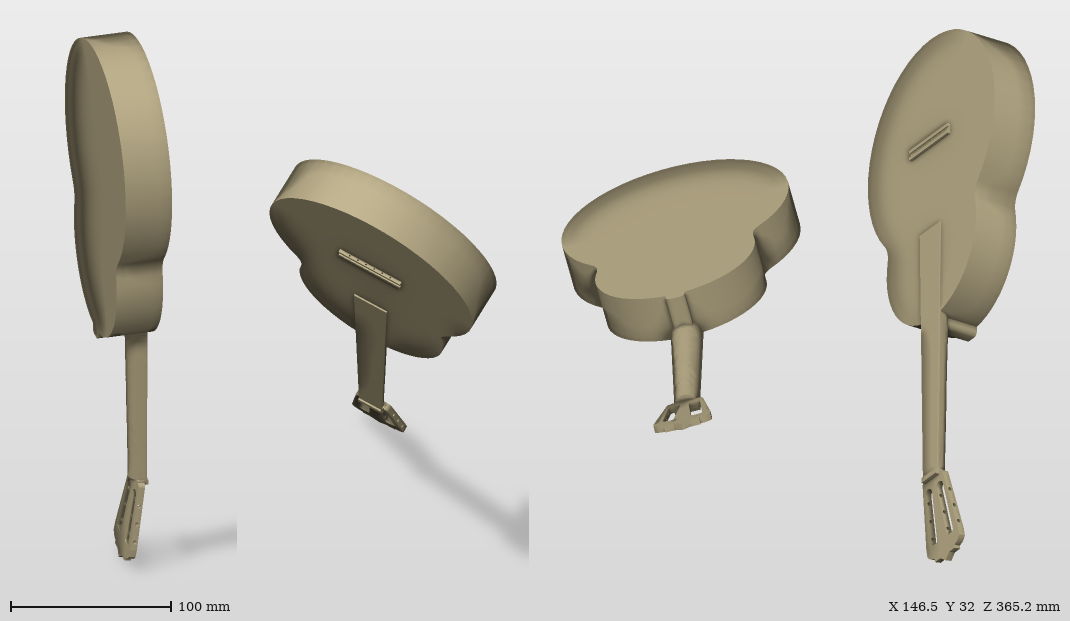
import cadquery as cq
import math


body_width = 146.5
upper_radius = body_width / 2
lower_radius = 51.5
bout_spacing = 73.0
waist_radius = 14.5
body_depth = 30.0

fingerboard_height = 1.0
fingerboard_top_z = -61.0
neck_face_y = body_depth + fingerboard_height
neck_root_z = -120.5
neck_end_z = -234.0
neck_root_width = 21.0
neck_end_width = 16.0
neck_root_depth = 12.0
neck_end_depth = 10.0

heel_width = 12.0
heel_end_z = -130.5
heel_corner_radius = 3.3

bridge_length = 44.2
bridge_height = 7.0
bridge_groove_height = 2.5
bridge_groove_depth = 1.0
string_hole_count = 6
string_hole_pitch = 6.0
string_hole_diameter = 1.0
crest_above_neck = 1.0
crest_y = neck_face_y + crest_above_neck
nut_height = 3.3

head_tilt = 10.0
head_face_y = 29.5
head_thickness = 4.5
head_overlap = 1.5
head_top_half_width = 8.8
head_corner_start = 1.5
head_corner_radius = 3.0
head_side_half_width = head_top_half_width + head_corner_radius
head_wide_half_width = 18.3
head_wide_start = 44.2
head_wide_end = 49.0
head_bend_half_width = 15.7
head_bend = 51.5
head_shoulder_half_width = 11.5
head_shoulder = 53.0
head_step = 55.0
head_tip_half_width = 5.0
head_tip = 58.8

slot_length = 36.5
slot_width = 7.3
slot_upper_radius = 3.3
slot_lower_radius = 2.0
slot_centre_x = 7.5
slot_centre_down = 26.0
slot_angle = 5.0
peg_hole_diameter = 2.5
peg_first_down = 15.7
peg_pitch = 11.7
peg_count = 3


def front_plane(y):
    """Plane at depth y whose local axes are X and Z and whose normal is -Y."""
    return cq.Workplane("XZ", origin=(0, y, 0))


def make_body():
    """Two round bouts joined by concave waist arcs."""
    upper_reach = upper_radius + waist_radius
    lower_reach = lower_radius + waist_radius
    waist_drop = (upper_reach**2 - lower_reach**2 + bout_spacing**2) / (2 * bout_spacing)
    waist_x = math.sqrt(upper_reach**2 - waist_drop**2)

    upper_ratio = upper_radius / upper_reach
    lower_ratio = lower_radius / lower_reach
    upper_x = waist_x * upper_ratio
    upper_z = -waist_drop * upper_ratio
    lower_x = waist_x * lower_ratio
    lower_z = -bout_spacing + (bout_spacing - waist_drop) * lower_ratio
    upper_angle = math.atan2(waist_drop, waist_x)
    lower_angle = math.atan2(waist_drop - bout_spacing, waist_x)
    middle_angle = (upper_angle + lower_angle) / 2
    middle_x = waist_x - waist_radius * math.cos(middle_angle)
    middle_z = -waist_drop + waist_radius * math.sin(middle_angle)

    return (
        front_plane(body_depth)
        .moveTo(-upper_x, upper_z)
        .threePointArc((0, upper_radius), (upper_x, upper_z))
        .threePointArc((middle_x, middle_z), (lower_x, lower_z))
        .threePointArc((0, -bout_spacing - lower_radius), (-lower_x, lower_z))
        .threePointArc((-middle_x, middle_z), (-upper_x, upper_z))
        .close()
        .extrude(body_depth)
    )


def make_fingerboard():
    """Thin plate on the soundboard, widening upwards at the same rate as the neck."""
    taper = (neck_root_width - neck_end_width) / (neck_root_z - neck_end_z)
    top_width = neck_end_width + taper * (fingerboard_top_z - neck_end_z)
    return (
        front_plane(neck_face_y)
        .polyline(
            [
                (-top_width / 2, fingerboard_top_z),
                (top_width / 2, fingerboard_top_z),
                (neck_end_width / 2, neck_end_z),
                (-neck_end_width / 2, neck_end_z),
            ]
        )
        .close()
        .extrude(fingerboard_height)
    )


def add_neck_section(work, width, depth):
    """Draw half an ellipse whose flat side lies on the local X axis."""
    half_width = width / 2
    return work.moveTo(-half_width, 0).ellipseArc(half_width, depth, 180, 360, startAtCurrent=True).close()


def make_neck():
    """Half-elliptical bar tapering towards its end, flat on the fingerboard face."""
    root = cq.Workplane("XY", origin=(0, neck_face_y, neck_root_z))
    root = add_neck_section(root, neck_root_width, neck_root_depth)
    end = add_neck_section(root.workplane(offset=neck_end_z - neck_root_z), neck_end_width, neck_end_depth)
    return end.loft(ruled=True)


def make_heel():
    """Tab with rounded lower corners, from the back of the body to inside the neck."""
    depth = neck_face_y - neck_root_depth / 2
    height = neck_root_z - heel_end_z
    return (
        cq.Workplane("XY")
        .box(heel_width, depth, height, centered=(True, False, False))
        .edges("|Y and <Z")
        .fillet(heel_corner_radius)
        .translate((0, 0, heel_end_z))
    )


def make_bridge():
    """Bar across the soundboard, grooved along its crest, with string holes through its upper ridge."""
    thickness = crest_y - body_depth
    bar = front_plane(crest_y).rect(bridge_length, bridge_height).extrude(thickness)
    groove = front_plane(crest_y).rect(bridge_length, bridge_groove_height).extrude(bridge_groove_depth)
    ridge_height = (bridge_height - bridge_groove_height) / 2
    string_holes = (
        cq.Workplane("XY", origin=(0, body_depth + thickness / 2, bridge_groove_height / 2))
        .rarray(string_hole_pitch, 3.5, string_hole_count, 1)
        .circle(string_hole_diameter / 2)
        .extrude(ridge_height)
    )
    return bar.cut(groove).cut(string_holes)


def make_nut():
    """Block between the fingerboard's end and the headstock, sunk into the headstock."""
    depth = crest_y - head_face_y + head_thickness / 2
    block = cq.Workplane("XY").box(neck_end_width, depth, nut_height, centered=(True, False, False))
    return block.translate((0, crest_y - depth, neck_end_z - nut_height))


def make_string_slot(side):
    """Cutter for one slot: round at its upper end, blunter at its lower end."""
    blank = cq.Workplane("XY").box(slot_width, slot_length, head_thickness, centered=(True, True, False))
    blank = blank.edges("|Z and <Y").fillet(slot_lower_radius)
    blank = blank.edges("|Z and >Y").fillet(slot_upper_radius)
    blank = blank.rotate((0, 0, 0), (0, 0, 1), side * slot_angle)
    return blank.translate((side * slot_centre_x, -slot_centre_down, 0))


def make_flat_headstock():
    """Plate lying in XY with its upper end at Y = 0 and its fingerboard side at Z = 0."""
    half_plate = (
        cq.Workplane("XY")
        .moveTo(0, head_overlap)
        .lineTo(head_top_half_width, head_overlap)
        .lineTo(head_top_half_width, -head_corner_start)
        .radiusArc((head_side_half_width, -head_corner_start - head_corner_radius), head_corner_radius)
        .lineTo(head_wide_half_width, -head_wide_start)
        .lineTo(head_wide_half_width, -head_wide_end)
        .threePointArc(
            (head_bend_half_width, -head_bend),
            (head_shoulder_half_width, -head_shoulder),
        )
        .lineTo(head_shoulder_half_width, -head_step)
        .lineTo(head_tip_half_width, -head_step)
        .lineTo(0, -head_tip)
        .close()
        .extrude(head_thickness)
    )
    plate = half_plate.union(half_plate.mirror("YZ"))

    for side in (-1, 1):
        plate = plate.cut(make_string_slot(side))

    for index in range(peg_count):
        down = peg_first_down + index * peg_pitch
        hole = (
            cq.Workplane("YZ")
            .center(-down, head_thickness / 2)
            .circle(peg_hole_diameter / 2)
            .extrude(head_wide_half_width, both=True)
        )
        plate = plate.cut(hole)
    return plate


def make_headstock():
    """Headstock tilted backwards and trimmed flush with the end of the neck."""
    tilt = math.radians(head_tilt)
    tilted_plane = cq.Plane(
        origin=(0, head_face_y, neck_end_z),
        xDir=(1, 0, 0),
        normal=(0, -math.cos(tilt), math.sin(tilt)),
    )
    plate = cq.Workplane(make_flat_headstock().val().moved(tilted_plane.location))
    above_neck_end = cq.Workplane("XY", origin=(0, 0, neck_end_z)).rect(
        2 * head_wide_half_width, 2 * crest_y
    )
    return plate.cut(above_neck_end.extrude(head_tip))


result = make_body()
for piece in (make_fingerboard(), make_neck(), make_heel(), make_bridge(), make_nut(), make_headstock()):
    result = result.union(piece)